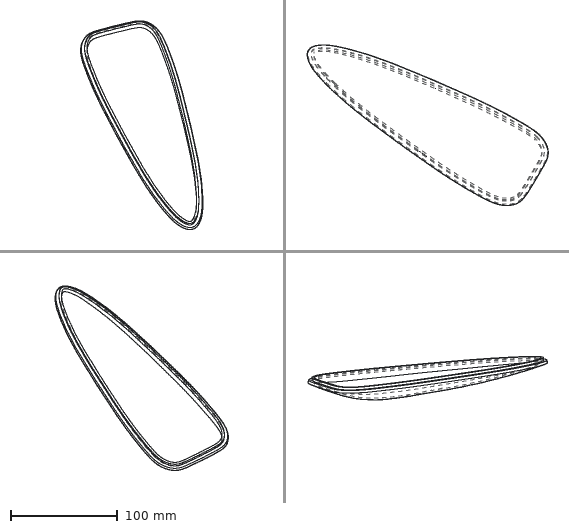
import math

import cadquery as cq

LENGTH = 246.79
HALF_WIDTH = 81.38 / 2
HEIGHT = 20.31

FLANGE_HEIGHT = 2.25
FLANGE_TAPER_INSET = 0.75
LIP_HEIGHT = 2.3
LIP_INSET = 3.75
LIP_THICKNESS = 2.3
CAVITY_INSET = LIP_INSET + LIP_THICKNESS

LAND_HEIGHT = 0.15
BOWL_DEPTH = HEIGHT - FLANGE_HEIGHT - LIP_HEIGHT - LAND_HEIGHT
DEEPEST_X = 88.0
NOSE_POWER = 2.25
BACK_POWER = 2.9
FLOOR_THICKNESS = 1.8

SIDE_POINTS = [
    (0.3, 17.0),
    (2.4, 27.0),
    (8.9, 34.3),
    (18.5, 38.7),
    (30.0, 40.4),
    (44.0, HALF_WIDTH),
    (62.0, 40.35),
    (98.0, 37.8),
    (134.0, 34.0),
    (170.0, 29.4),
    (205.0, 22.8),
    (224.0, 17.4),
    (238.0, 11.2),
]

INSET_SAMPLES = 48
OUTLINE_SAMPLES = 720
GRID_COLUMNS = 64
GRID_ROWS = 40
FIT_TOLERANCE = 0.02

SURFACE_MARGIN = 3.0
SKIRT_RISE = 3.0
SPACE_HEIGHT = 3 * HEIGHT


def spline_side(points):
    """Half outline through the points, square to the X axis at both ends."""
    return cq.Edge.makeSpline(points, tangents=[cq.Vector(0, 1), cq.Vector(0, -1)], scale=False)


def half_outline(inset=0.0):
    """+Y half of the outline, from back to nose, moved inward by `inset`."""
    points = [(0, 0)] + SIDE_POINTS + [(LENGTH, 0)]
    side = spline_side([cq.Vector(x, y) for x, y in points])
    if inset == 0:
        return side
    inset_points = []
    for i in range(INSET_SAMPLES + 1):
        fraction = i / INSET_SAMPLES
        tangent = side.tangentAt(fraction)
        inward = cq.Vector(tangent.y, -tangent.x)
        inset_points.append(side.positionAt(fraction) + inward * inset)
    return spline_side(inset_points)


def outline_wire(inset, height):
    """Closed outline at a height, moved inward by `inset`."""
    side = half_outline(inset)
    wire = cq.Wire.assembleEdges([side, side.mirror("XZ")])
    return wire.translate(cq.Vector(0, 0, height))


def rim_block(bottom, top, bottom_inset, top_inset):
    """Outline-shaped block between two heights, with straight sides."""
    wires = [outline_wire(bottom_inset, bottom), outline_wire(top_inset, top)]
    return cq.Workplane(cq.Solid.makeLoft(wires, True))


def polar_outline():
    """Angles and radii of the +Y half outline about the deepest point, from nose to back."""
    side = half_outline()
    samples = []
    for i in range(OUTLINE_SAMPLES + 1):
        point = side.positionAt(1 - i / OUTLINE_SAMPLES)
        dx = point.x - DEEPEST_X
        samples.append((math.atan2(max(point.y, 0.0), dx), math.hypot(dx, point.y)))
    return samples


def outline_radius(samples, angle):
    """Distance from the deepest point to the outline in a direction."""
    for (a0, r0), (a1, r1) in zip(samples, samples[1:]):
        if angle <= a1:
            return r0 + (r1 - r0) * (angle - a0) / (a1 - a0)
    return samples[-1][1]


def bowl_height(samples, x, y):
    """Height of the outer bowl surface, levelling off beyond the outline."""
    dx = x - DEEPEST_X
    angle = math.atan2(abs(y), dx)
    reach = math.hypot(dx, y) / outline_radius(samples, angle)
    nose_share = ((1 + math.cos(angle)) / 2) ** 2
    power = BACK_POWER + (NOSE_POWER - BACK_POWER) * nose_share
    rise = BOWL_DEPTH * (reach**power - 1)
    if rise > 0:
        rise = SKIRT_RISE * math.tanh(rise / SKIRT_RISE)
    return rise - LAND_HEIGHT


def bowl_face():
    """Smooth outer bowl surface, running slightly past the outline."""
    samples = polar_outline()
    x_start = -SURFACE_MARGIN
    x_step = (LENGTH + 2 * SURFACE_MARGIN) / GRID_COLUMNS
    y_start = -HALF_WIDTH - SURFACE_MARGIN
    y_step = -2 * y_start / GRID_ROWS
    grid = []
    for i in range(GRID_COLUMNS + 1):
        x = x_start + i * x_step
        column_y = [y_start + j * y_step for j in range(GRID_ROWS + 1)]
        grid.append([cq.Vector(x, y, bowl_height(samples, x, y)) for y in column_y])
    return cq.Face.makeSplineApprox(grid, tol=FIT_TOLERANCE, minDeg=3, maxDeg=5)


def space_above(face):
    """Solid swept straight up from a face."""
    return cq.Workplane(cq.Solid.extrudeLinear(face, cq.Vector(0, 0, SPACE_HEIGHT)))


def build():
    """Bowl, flange and lip joined, then hollowed down to the floor."""
    rim_top = FLANGE_HEIGHT + LIP_HEIGHT
    above_bowl = space_above(bowl_face())
    above_floor = above_bowl.translate((0, 0, FLOOR_THICKNESS))

    bowl = rim_block(-HEIGHT, 0, 0, 0).intersect(above_bowl)
    flange = rim_block(0, FLANGE_HEIGHT, 0, FLANGE_TAPER_INSET)
    lip = rim_block(FLANGE_HEIGHT, rim_top, LIP_INSET, LIP_INSET)
    cavity = rim_block(-HEIGHT, rim_top, CAVITY_INSET, CAVITY_INSET).intersect(above_floor)
    shell = bowl.union(flange).union(lip).cut(cavity)
    return shell.solids()


result = build()